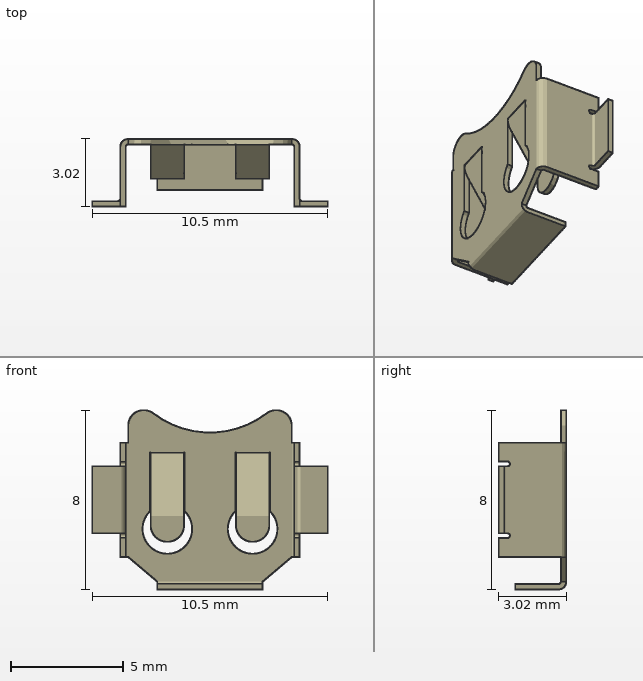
import cadquery as cq
import math

sheet = 0.25
bend_inner = 0.1
bend_outer = bend_inner + sheet

total_width = 10.5
total_depth = 3.02
total_height = 8.0
z_top = total_height / 2
z_bottom = -total_height / 2

wall_outer_x = 4.0
wall_inner_x = wall_outer_x - sheet
wall_height = 5.1
foot_height = 3.0
relief_width = 0.2
relief_depth = 0.5

plate_half_width = wall_outer_x - bend_outer
lobe_radius = 0.7
scoop_bottom_z = 3.0

floor_width = 4.7
floor_depth = 2.28
floor_bend_z = z_bottom + bend_outer

window_x = 1.9
window_slot_width = 1.54
window_top_z = 2.1
window_hole_radius = 1.1
window_hole_z = -1.3

tongue_width = 1.5
tongue_angle = math.radians(32)
tongue_root_radius = 1.0
tongue_slope_height = 2.12
tongue_tip_bend = 0.35
tongue_bottom_z = -1.88


def block(x_range, y_range, z_range):
    """Box spanning the given coordinate ranges."""
    spans = [high - low for low, high in (x_range, y_range, z_range)]
    corner = (x_range[0], y_range[0], z_range[0])
    return cq.Workplane("XY").box(*spans, centered=False).translate(corner)


def quarter_bend(plane, centre, u_side, v_side, width):
    """Quarter ring of folded sheet in one quadrant about the centre, symmetric across its width."""
    u, v = centre
    diagonal = math.sqrt(0.5)

    def at(radius, u_part, v_part):
        return (u + u_side * radius * u_part, v + v_side * radius * v_part)

    return (
        cq.Workplane(plane)
        .moveTo(*at(bend_inner, 1, 0))
        .lineTo(*at(bend_outer, 1, 0))
        .threePointArc(at(bend_outer, diagonal, diagonal), at(bend_outer, 0, 1))
        .lineTo(*at(bend_inner, 0, 1))
        .threePointArc(at(bend_inner, diagonal, diagonal), at(bend_inner, 1, 0))
        .close()
        .extrude(width / 2, both=True)
    )


def make_plate():
    """Back plate: two rounded lobes joined by a tangent scoop, tapering down to the floor flange."""
    lobe_x = plate_half_width - lobe_radius
    lobe_z = z_top - lobe_radius

    rise = lobe_z - scoop_bottom_z
    scoop_radius = (lobe_x**2 + rise**2 - lobe_radius**2) / (2 * (lobe_radius + rise))
    lobe_share = lobe_radius / (scoop_radius + lobe_radius)
    touch_x = lobe_x * (1 - lobe_share)
    touch_z = lobe_z + (scoop_bottom_z + scoop_radius - lobe_z) * lobe_share

    wall_bottom_z = -wall_height / 2
    return (
        cq.Workplane("XZ")
        .moveTo(-floor_width / 2, floor_bend_z)
        .lineTo(floor_width / 2, floor_bend_z)
        .lineTo(plate_half_width, wall_bottom_z)
        .lineTo(plate_half_width, lobe_z)
        .threePointArc((lobe_x, z_top), (touch_x, touch_z))
        .threePointArc((0, scoop_bottom_z), (-touch_x, touch_z))
        .threePointArc((-lobe_x, z_top), (-plate_half_width, lobe_z))
        .lineTo(-plate_half_width, wall_bottom_z)
        .close()
        .extrude(sheet)
    )


def make_window(x):
    """Keyhole cutter: a slot beside the tongue that runs into a round hole around its tip."""
    half_slot = window_slot_width / 2
    slot = block((x - half_slot, x + half_slot), (-sheet, 0), (window_hole_z, window_top_z))
    hole = cq.Workplane("XZ").center(x, window_hole_z).circle(window_hole_radius).extrude(sheet)
    return slot.union(hole)


def make_relief(z):
    """Round-ended cutter for the relief slot beside a solder foot."""
    radius = relief_width / 2
    round_y = -total_depth + relief_depth - radius
    return (
        cq.Workplane("YZ", origin=(wall_inner_x, 0, z))
        .moveTo(-total_depth, -radius)
        .lineTo(round_y, -radius)
        .threePointArc((round_y + radius, 0), (round_y, radius))
        .lineTo(-total_depth, radius)
        .close()
        .extrude(sheet)
    )


def make_side():
    """Side wall on +X, folded forward from the plate, with a solder foot folded outward."""
    wall_x = (wall_inner_x, wall_outer_x)
    wall_z = (-wall_height / 2, wall_height / 2)
    foot_z = (-foot_height / 2, foot_height / 2)
    foot_bend_x = wall_outer_x + bend_inner
    foot_bend_y = -total_depth + bend_outer

    side = block(wall_x, (-total_depth, -bend_outer), wall_z)
    side = side.cut(block(wall_x, (-total_depth, foot_bend_y), foot_z))
    for z_side in (-1, 1):
        side = side.cut(make_relief(z_side * (foot_height + relief_width) / 2))

    wall_bend = quarter_bend("XY", (plate_half_width, -bend_outer), 1, 1, wall_height)
    foot_bend = quarter_bend("XY", (foot_bend_x, foot_bend_y), -1, -1, foot_height)
    foot = block((foot_bend_x, total_width / 2), (-total_depth, -total_depth + sheet), foot_z)
    return side.union(wall_bend).union(foot_bend).union(foot)


def make_floor():
    """Floor flange folded forward from the lower edge of the plate."""
    floor_x = (-floor_width / 2, floor_width / 2)
    flange = block(floor_x, (-floor_depth, -bend_outer), (z_bottom, z_bottom + sheet))
    return flange.union(quarter_bend("YZ", (-bend_outer, floor_bend_z), 1, -1, floor_width))


def make_frame():
    """Folded frame: plate with two windows, two side walls and the floor flange."""
    plate = make_plate()
    for x in (-window_x, window_x):
        plate = plate.cut(make_window(x))
    side = make_side()
    return plate.union(side).union(side.mirror("YZ")).union(make_floor())


def make_tongue(x):
    """Spring tongue: curves forward from the top of its window, slopes down, ends in a round tip."""
    sine = math.sin(tongue_angle)
    cosine = math.cos(tongue_angle)
    half_sine = math.sin(tongue_angle / 2)
    half_cosine = math.cos(tongue_angle / 2)

    root_y = -sheet - tongue_root_radius
    root_z = window_top_z
    root_back = tongue_root_radius + sheet
    tip_back = tongue_tip_bend - sheet
    span = tongue_root_radius + tongue_tip_bend
    tip_y = root_y + span * cosine - tongue_slope_height * math.tan(tongue_angle)
    tip_z = root_z - span * sine - tongue_slope_height

    def on_root(radius, along_y, down_z):
        return (root_y + radius * along_y, root_z - radius * down_z)

    def on_tip(radius, along_y, up_z):
        return (tip_y - radius * along_y, tip_z + radius * up_z)

    strip = (
        cq.Workplane("YZ", origin=(x, 0, 0))
        .moveTo(*on_root(tongue_root_radius, 1, 0))
        .threePointArc(
            on_root(tongue_root_radius, half_cosine, half_sine),
            on_root(tongue_root_radius, cosine, sine),
        )
        .lineTo(*on_tip(tongue_tip_bend, cosine, sine))
        .threePointArc(on_tip(tongue_tip_bend, half_cosine, half_sine), on_tip(tongue_tip_bend, 1, 0))
        .lineTo(tip_y - tongue_tip_bend, tongue_bottom_z)
        .lineTo(tip_y - tip_back, tongue_bottom_z)
        .lineTo(*on_tip(tip_back, 1, 0))
        .threePointArc(on_tip(tip_back, half_cosine, half_sine), on_tip(tip_back, cosine, sine))
        .lineTo(*on_root(root_back, cosine, sine))
        .threePointArc(on_root(root_back, half_cosine, half_sine), on_root(root_back, 1, 0))
        .close()
        .extrude(tongue_width / 2, both=True)
    )

    tip_radius = tongue_width / 2
    round_z = tongue_bottom_z + tip_radius
    outline = (
        cq.Workplane("XZ")
        .moveTo(x - tip_radius, window_top_z)
        .lineTo(x - tip_radius, round_z)
        .threePointArc((x, tongue_bottom_z), (x + tip_radius, round_z))
        .lineTo(x + tip_radius, window_top_z)
        .close()
        .extrude(total_depth)
    )
    return strip.intersect(outline)


frame = make_frame()
tongues = [make_tongue(x) for x in (-window_x, window_x)]

result = cq.Compound.makeCompound([frame.val(), *[tongue.val() for tongue in tongues]])